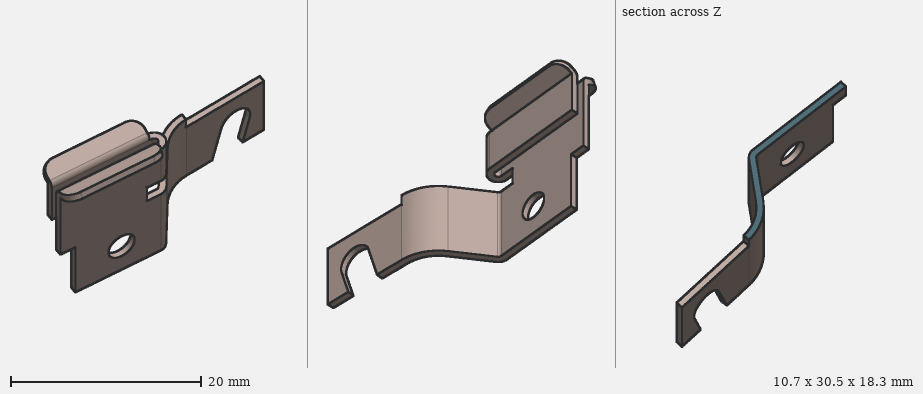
import cadquery as cq
import math


thickness = 0.82
gap = 0.85
inner_radius = gap / 2
outer_radius = inner_radius + thickness
fold_y = 12.5

clip_bottom = 11.5
clip_top = 16.73
arm_top = 9.3
tab_top = 8.02

front_step_depth = 1.85
front_step_height = 7.45
neck_y = 10.8
hole_diameter = 3.25
hole_y = 7.62
hole_height = 3.9

lip_angle = 25.0
lip_length = 2.05
lip_end_y = 12.2
lip_corner_radius = 1.55

crank_angle = 56.0
tab_angle = 5.0
crank_length = 5.3
crank_outer_radius = 5.9
arm_end_y = 30.48

slot_radius = 1.935
slot_y = 26.67
slot_height = 3.9
slot_tilt = 15.5


def polar(center, radius, angle):
    """Point at a radius and an angle in degrees from +X about a center."""
    turn = math.radians(angle)
    return (center[0] + radius * math.cos(turn), center[1] + radius * math.sin(turn))


def box(x_start, x_end, y_start, y_end, z_start, z_end):
    size = (x_end - x_start, y_end - y_start, z_end - z_start)
    return cq.Workplane("XY").box(*size, centered=False).translate((x_start, y_start, z_start))


def upright_wall():
    outline = [
        (front_step_depth, 0),
        (fold_y, 0),
        (fold_y, arm_top),
        (neck_y, arm_top),
        (neck_y, clip_bottom),
        (fold_y, clip_bottom),
        (fold_y, clip_top),
        (0, clip_top),
        (0, front_step_height),
        (front_step_depth, front_step_height),
    ]
    wall = cq.Workplane("YZ").polyline(outline).close().extrude(thickness)
    hole = cq.Workplane("YZ").center(hole_y, hole_height).circle(hole_diameter / 2).extrude(thickness)
    return wall.cut(hole).translate((inner_radius, 0, 0))


def clip_fold():
    """Half-round fold and the short wall hanging from it."""
    ring = cq.Workplane("XY", origin=(0, fold_y, clip_bottom)).circle(outer_radius).circle(inner_radius)
    ring = ring.extrude(clip_top - clip_bottom)
    back_half = box(-outer_radius, outer_radius, fold_y, fold_y + outer_radius, clip_bottom, clip_top)
    short_wall = box(-outer_radius, -inner_radius, 0, fold_y, clip_bottom, clip_top)
    return ring.intersect(back_half).union(short_wall)


def flared_lip():
    """Lip leaning out toward +X, bent about the outer top edge of its wall."""
    plate = box(0, lip_length, 0, lip_end_y, 0, thickness)
    plate = plate.edges("|Z and >X").fillet(lip_corner_radius)
    plate = plate.rotate((0, 0, 0), (0, 1, 0), -lip_angle)
    bend = (
        cq.Workplane("XZ")
        .lineTo(-thickness, 0)
        .threePointArc(
            polar((0, 0), thickness, (180 + 90 + lip_angle) / 2),
            polar((0, 0), thickness, 90 + lip_angle),
        )
        .close()
        .extrude(-lip_end_y)
    )
    return plate.union(bend).translate((outer_radius, 0, clip_top))


def arm_strip():
    """Strip that leaves the wall fold, runs diagonally and bends back to the tab."""
    fold = (0, fold_y)
    inner_start = polar(fold, inner_radius, crank_angle)
    outer_start = polar(fold, outer_radius, crank_angle)
    inner_end = polar(inner_start, crank_length, 90 + crank_angle)
    outer_end = polar(outer_start, crank_length, 90 + crank_angle)

    bend_center = polar(inner_end, crank_outer_radius, crank_angle)
    crank_inner_radius = crank_outer_radius - thickness
    middle_angle = 180 + (crank_angle + tab_angle) / 2
    tab_start = polar(bend_center, crank_outer_radius, 180 + tab_angle)
    tab_start_back = polar(bend_center, crank_inner_radius, 180 + tab_angle)

    def at_arm_end(point):
        rise = arm_end_y - point[1]
        return (point[0] - rise * math.tan(math.radians(tab_angle)), arm_end_y)

    strip = (
        cq.Workplane("XY")
        .moveTo(inner_radius, fold_y)
        .threePointArc(polar(fold, inner_radius, crank_angle / 2), inner_start)
        .lineTo(*inner_end)
        .threePointArc(polar(bend_center, crank_outer_radius, middle_angle), tab_start)
        .lineTo(*at_arm_end(tab_start))
        .lineTo(*at_arm_end(tab_start_back))
        .lineTo(*tab_start_back)
        .threePointArc(polar(bend_center, crank_inner_radius, middle_angle), outer_end)
        .lineTo(*outer_start)
        .threePointArc(polar(fold, outer_radius, crank_angle / 2), (outer_radius, fold_y))
        .close()
        .extrude(arm_top)
    )
    return strip, tab_start, at_arm_end(tab_start)


def cranked_arm():
    strip, tab_start, tab_end = arm_strip()
    reach = arm_end_y
    tab_relief = box(-reach, 0, tab_start[1], 2 * reach, tab_top, arm_top)

    slot_share = (slot_y - tab_start[1]) / (tab_end[1] - tab_start[1])
    slot_x = tab_start[0] + slot_share * (tab_end[0] - tab_start[0])
    cut_depth = 4 * thickness
    head = cq.Workplane("YZ").circle(slot_radius).extrude(cut_depth, both=True)
    mouth = box(-cut_depth, cut_depth, -slot_radius, slot_radius, -2 * slot_height, 0)
    slot = (
        head.union(mouth)
        .rotate((0, 0, 0), (1, 0, 0), -slot_tilt)
        .rotate((0, 0, 0), (0, 0, 1), tab_angle)
        .translate((slot_x, slot_y, slot_height))
    )
    return strip.cut(tab_relief).cut(slot)


long_wall_lip = flared_lip()
short_wall_lip = long_wall_lip.mirror("YZ")

result = (
    upright_wall()
    .union(clip_fold())
    .union(long_wall_lip)
    .union(short_wall_lip)
    .union(cranked_arm())
)